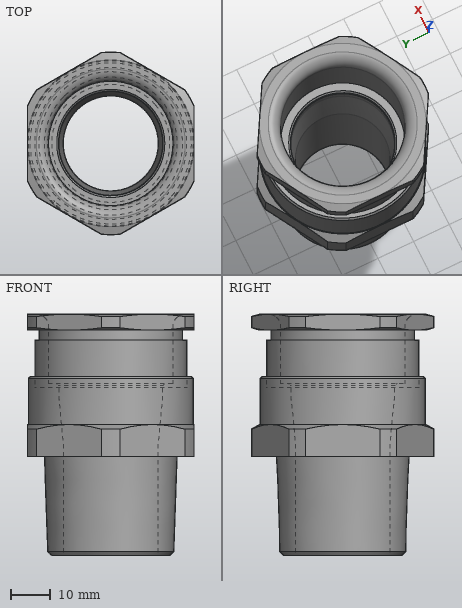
import cadquery as cq
import math

total_height = 60.75
entry_length = 24.9
body_hex_height = 8.1
shoulder_z = 45.1
nut_hex_height = 4.0
undercut_height = 2.5

across_flats = 42.0
across_corners = 46.0

entry_top_diameter = 33.4
entry_end_diameter = 31.8
entry_chamfer = 1.05
collar_diameter = 41.55
collar_chamfer = 0.5
seat_diameter = 26.1
seat_depth = 2.25
bore_taper_height = 12.15
body_bore = 23.9
body_hex_chamfer_height = 1.15

thread_diameter = 38.3
undercut_diameter = 36.15
nut_bore = 31.3
mouth_radius = 3.1
nut_hex_chamfer_height = 0.6
lip_top_z = 43.25
lip_thickness = 1.0
lip_bore = 26.35
lip_chamfer = 0.4

body_hex_top = entry_length + body_hex_height
nut_hex_z = total_height - nut_hex_height
nut_end_z = lip_top_z - lip_thickness
undercut_z = nut_hex_z - undercut_height


def cylinder(diameter, bottom, top):
    return cq.Workplane("XY").workplane(offset=bottom).circle(diameter / 2).extrude(top - bottom)


def revolved(profile):
    """Turn a closed profile of (radius, z) points about the Z axis."""
    return profile.close().revolve(360, (0, 0, 0), (0, 1, 0))


def hexagon(bottom, top, chamfer_height, chamfered_faces):
    """Hexagon with flats facing X, turned-down corners and conical chamfers on the chosen end faces."""
    prism = (
        cq.Workplane("XY")
        .workplane(offset=bottom)
        .transformed(rotate=(0, 0, 90))
        .polygon(6, across_flats / math.cos(math.pi / 6))
        .extrude(top - bottom)
    )
    chamfer_width = (across_corners - across_flats) / 2
    blank = cylinder(across_corners, bottom, top)
    for face in chamfered_faces:
        blank = blank.faces(face).chamfer(chamfer_height, chamfer_width)
    return prism.intersect(blank)


def make_body():
    entry = revolved(
        cq.Workplane("XZ")
        .moveTo(0, 0)
        .lineTo(entry_end_diameter / 2 - entry_chamfer, 0)
        .lineTo(entry_end_diameter / 2, entry_chamfer)
        .lineTo(entry_top_diameter / 2, entry_length)
        .lineTo(0, entry_length)
    )
    collar = cylinder(collar_diameter, body_hex_top, shoulder_z).faces(">Z").edges().chamfer(collar_chamfer)
    hex_flange = hexagon(entry_length, body_hex_top, body_hex_chamfer_height, [">Z"])
    seat_z = nut_end_z - seat_depth
    bore = revolved(
        cq.Workplane("XZ")
        .moveTo(0, 0)
        .lineTo(body_bore / 2, 0)
        .lineTo(body_bore / 2, seat_z - bore_taper_height)
        .lineTo(seat_diameter / 2, seat_z)
        .lineTo(seat_diameter / 2, nut_end_z)
        .lineTo(0, nut_end_z)
    )
    nut_recess = cylinder(thread_diameter, nut_end_z, shoulder_z)
    return entry.union(hex_flange).union(collar).cut(bore).cut(nut_recess)


def make_nut():
    outside = (
        hexagon(nut_hex_z, total_height, nut_hex_chamfer_height, [">Z", "<Z"])
        .union(cylinder(undercut_diameter, undercut_z, nut_hex_z))
        .union(cylinder(thread_diameter, nut_end_z, undercut_z))
    )
    bore_radius = nut_bore / 2
    mouth_z = total_height - mouth_radius
    mouth_slant = mouth_radius * (1 - math.sqrt(0.5))
    bore = revolved(
        cq.Workplane("XZ")
        .moveTo(0, nut_end_z)
        .lineTo(lip_bore / 2, nut_end_z)
        .lineTo(lip_bore / 2, lip_top_z - lip_chamfer)
        .lineTo(lip_bore / 2 + lip_chamfer, lip_top_z)
        .lineTo(bore_radius, lip_top_z)
        .lineTo(bore_radius, mouth_z)
        .threePointArc(
            (bore_radius + mouth_slant, total_height - mouth_slant),
            (bore_radius + mouth_radius, total_height),
        )
        .lineTo(0, total_height)
    )
    return outside.cut(bore)


body = make_body()
nut = make_nut()

result = cq.Compound.makeCompound([body.solids().val(), nut.solids().val()])